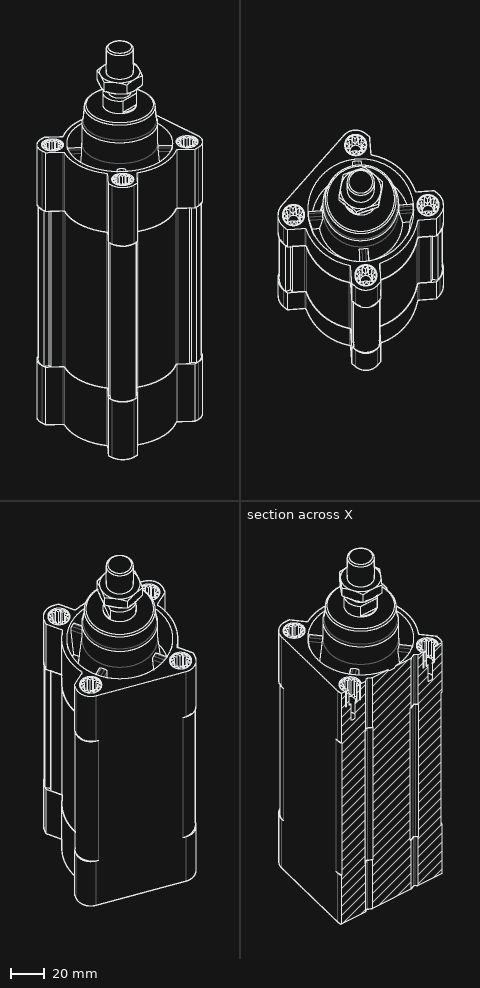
import cadquery as cq
import math

SIDE = 75.0
CORNER_RADIUS = 9.2
BODY_DIAMETER = 69.0
LOBE_WIDTH = 17.4
HALF_SIDE = SIDE / 2
BOLT_OFFSET = HALF_SIDE - CORNER_RADIUS
EDGE_MATCH_TOLERANCE = 0.03

TOTAL_HEIGHT = 263.0
BODY_BOTTOM = 4.2
BARREL_BOTTOM = 44.7
BARREL_TOP = 154.2
BODY_TOP = 195.5
NECK_TOP = 210.0
COLLAR_BOTTOM = 211.5
COLLAR_TOP = 222.5
FLATS_BOTTOM = 223.5
SHOULDER_TOP = 231.3
UNDERCUT_TOP = 234.2
THREAD_BOTTOM = 236.8
NUT_BOTTOM = 237.5
NUT_TOP = 245.5

BARREL_INSET = 0.3
BARREL_DIAMETER = BODY_DIAMETER - 2 * BARREL_INSET
BARREL_LOBE_WIDTH = LOBE_WIDTH - 2 * BARREL_INSET
RELIEF_START = 26.5
RELIEF_ROOT = (25.0, 34.7)
RELIEF_END = 23.2
BARREL_CORNER_RADIUS = HALF_SIDE - RELIEF_START
BARREL_FILLET = 1.3
CAP_FILLET = 0.8

NECK_DIAMETER = 45.0
COLLAR_BASE_DIAMETER = 43.7
COLLAR_TOP_DIAMETER = 42.0
EDGE_CHAMFER = 1.0

RECESS_TOP_DIAMETER = 63.0
RECESS_FLOOR_OUTER = 58.5
RECESS_FLOOR_INNER = 49.7
RECESS_DEPTH = 26.3
RECESS_FLOOR = BODY_TOP - RECESS_DEPTH
RIB_WIDTH = 5.3
RIB_EDGE_RADIUS = 1.5
RIB_DROP = 3.5

BOLT_RIM_DIAMETER = 13.2
SOCKET_DIAMETER = 12.0
SOCKET_TIP_DIAMETER = 8.0
SOCKET_TEETH = 12
SOCKET_DEPTH = 13.2
PILOT_DIAMETER = 6.5
PILOT_DEPTH = 26.3
DRILL_POINT_HEIGHT = 1.8

ROD_DIAMETER = 20.0
ROD_FLATS = 16.0
ROD_BOTTOM = RECESS_FLOOR
UNDERCUT_DIAMETER = 13.2
THREAD_OUTER_DIAMETER = 16.0
NUT_WIDTH = 24.0
NUT_CORNER_CHAMFER = 0.8


def cylinder(diameter, bottom, top):
    return cq.Workplane("XY").workplane(offset=bottom).circle(diameter / 2).extrude(top - bottom)


def revolved(profile):
    """Turn a closed list of (radius, z) points about the Z axis."""
    return cq.Workplane("XZ").polyline(profile).close().revolve(360, (0, 0), (0, 1))


def box(x_size, y_size, bottom, top):
    return (
        cq.Workplane("XY")
        .workplane(offset=bottom)
        .rect(x_size, y_size)
        .extrude(top - bottom)
    )


def body_section(bottom, top, diameter, lobe_width, corner_radius, root_fillet):
    """Round body with four corner lobes and one full flat side at +Y."""
    square = box(SIDE, SIDE, bottom, top).edges("|Z").fillet(corner_radius)
    shape = cylinder(diameter, bottom, top)
    for angle in (45, -45):
        lobes = box(2 * SIDE, lobe_width, bottom, top)
        shape = shape.union(lobes.rotate((0, 0, 0), (0, 0, 1), angle))
    flat_side = box(2 * BOLT_OFFSET, CORNER_RADIUS, bottom, top)
    flat_side = flat_side.translate((0, HALF_SIDE - CORNER_RADIUS / 2, 0))
    shape = shape.union(flat_side).intersect(square)
    roots = [
        edge for edge in shape.edges("|Z").vals()
        if abs(math.hypot(edge.Center().x, edge.Center().y) - diameter / 2) < EDGE_MATCH_TOLERANCE
    ]
    return shape.newObject(roots).fillet(root_fillet)


def make_cap(bottom, top):
    return body_section(bottom, top, BODY_DIAMETER, LOBE_WIDTH, CORNER_RADIUS, CAP_FILLET)


def flank_relief():
    """Shallow groove at the outer end of the flank facing -Y on the (-X, -Y) lobe."""
    flank_shift = BARREL_LOBE_WIDTH / math.sqrt(2)
    return (
        cq.Workplane("XY")
        .workplane(offset=BARREL_BOTTOM)
        .polyline([
            (-RELIEF_START, -HALF_SIDE),
            (-RELIEF_ROOT[0], -RELIEF_ROOT[1]),
            (-RELIEF_END, -RELIEF_END - flank_shift),
            (-RELIEF_END, -SIDE),
            (-RELIEF_START, -SIDE),
        ])
        .close()
        .extrude(BARREL_TOP - BARREL_BOTTOM)
    )


def make_barrel():
    barrel = body_section(
        BARREL_BOTTOM,
        BARREL_TOP,
        BARREL_DIAMETER,
        BARREL_LOBE_WIDTH,
        BARREL_CORNER_RADIUS,
        BARREL_FILLET,
    )
    lower = flank_relief()
    side = lower.mirror("XZ").rotate((0, 0, 0), (0, 0, 1), 90)
    for relief in (lower, side, side.mirror("XZ")):
        barrel = barrel.cut(relief).cut(relief.mirror("YZ"))
    return barrel


def make_recess():
    recess = revolved([
        (NECK_DIAMETER / 2, BODY_TOP),
        (RECESS_TOP_DIAMETER / 2, BODY_TOP),
        (RECESS_FLOOR_OUTER / 2, RECESS_FLOOR),
        (RECESS_FLOOR_INNER / 2, RECESS_FLOOR),
    ])
    rib = box(2 * SIDE, RIB_WIDTH, RECESS_FLOOR, BODY_TOP - RIB_DROP)
    rib = rib.faces(">Z").edges("|X").fillet(RIB_EDGE_RADIUS)
    for angle in (45, -45):
        recess = recess.cut(rib.rotate((0, 0, 0), (0, 0, 1), angle))
    return recess


def make_socket():
    """Toothed socket that alternates between root and tip radii."""
    points = []
    for i in range(2 * SOCKET_TEETH):
        radius = (SOCKET_DIAMETER if i % 2 == 0 else SOCKET_TIP_DIAMETER) / 2
        angle = math.pi * i / SOCKET_TEETH
        points.append((radius * math.cos(angle), radius * math.sin(angle)))
    return (
        cq.Workplane("XY")
        .workplane(offset=BODY_TOP - SOCKET_DEPTH)
        .polyline(points)
        .close()
        .extrude(SOCKET_DEPTH)
    )


def make_bolt_hole():
    """Chamfered rim, toothed socket and a drilled pilot with a conical end."""
    rim_depth = (BOLT_RIM_DIAMETER - SOCKET_DIAMETER) / 2
    tip = BODY_TOP - PILOT_DEPTH
    turned = revolved([
        (0, BODY_TOP),
        (BOLT_RIM_DIAMETER / 2, BODY_TOP),
        (SOCKET_DIAMETER / 2, BODY_TOP - rim_depth),
        (PILOT_DIAMETER / 2, BODY_TOP - rim_depth),
        (PILOT_DIAMETER / 2, tip),
        (0, tip - DRILL_POINT_HEIGHT),
    ])
    return turned.union(make_socket())


def make_housing():
    housing = make_cap(BODY_BOTTOM, BARREL_BOTTOM)
    housing = housing.union(make_barrel())
    housing = housing.union(make_cap(BARREL_TOP, BODY_TOP))
    housing = housing.cut(make_recess())
    boss = cylinder(NECK_DIAMETER, 0, BODY_BOTTOM).faces("<Z").chamfer(EDGE_CHAMFER)
    neck = revolved([
        (0, BODY_TOP),
        (NECK_DIAMETER / 2, BODY_TOP),
        (NECK_DIAMETER / 2, NECK_TOP),
        (COLLAR_BASE_DIAMETER / 2, COLLAR_BOTTOM),
        (COLLAR_TOP_DIAMETER / 2, COLLAR_TOP - EDGE_CHAMFER),
        (COLLAR_TOP_DIAMETER / 2 - EDGE_CHAMFER, COLLAR_TOP),
        (0, COLLAR_TOP),
    ])
    housing = housing.union(boss).union(neck)
    bolt_hole = make_bolt_hole()
    for x in (-BOLT_OFFSET, BOLT_OFFSET):
        for y in (-BOLT_OFFSET, BOLT_OFFSET):
            housing = housing.cut(bolt_hole.translate((x, y, 0)))
    return housing.cut(cylinder(ROD_DIAMETER, ROD_BOTTOM, COLLAR_TOP))


def make_rod():
    shank = cylinder(ROD_DIAMETER, ROD_BOTTOM, SHOULDER_TOP)
    outside_flats = cylinder(2 * ROD_DIAMETER, FLATS_BOTTOM, SHOULDER_TOP).cut(
        box(ROD_FLATS, 2 * ROD_DIAMETER, FLATS_BOTTOM, SHOULDER_TOP)
    )
    threaded_end = revolved([
        (0, SHOULDER_TOP),
        (UNDERCUT_DIAMETER / 2, SHOULDER_TOP),
        (UNDERCUT_DIAMETER / 2, UNDERCUT_TOP),
        (THREAD_OUTER_DIAMETER / 2, THREAD_BOTTOM),
        (THREAD_OUTER_DIAMETER / 2, TOTAL_HEIGHT - EDGE_CHAMFER),
        (THREAD_OUTER_DIAMETER / 2 - EDGE_CHAMFER, TOTAL_HEIGHT),
        (0, TOTAL_HEIGHT),
    ])
    return shank.cut(outside_flats).union(threaded_end)


def make_nut():
    across_corners = NUT_WIDTH / math.cos(math.radians(30))
    height = NUT_TOP - NUT_BOTTOM
    nut = (
        cq.Workplane("XY")
        .workplane(offset=NUT_BOTTOM)
        .transformed(rotate=(0, 0, 30))
        .polygon(6, across_corners)
        .extrude(height)
    )
    chamfered_blank = (
        cylinder(across_corners, NUT_BOTTOM, NUT_TOP)
        .edges()
        .chamfer(NUT_CORNER_CHAMFER, (across_corners - NUT_WIDTH) / 2)
    )
    return nut.intersect(chamfered_blank).cut(cylinder(THREAD_OUTER_DIAMETER, NUT_BOTTOM, NUT_TOP))


housing = make_housing()
rod = make_rod()
nut = make_nut()

result = cq.Compound.makeCompound([housing.val(), rod.val(), nut.val()])